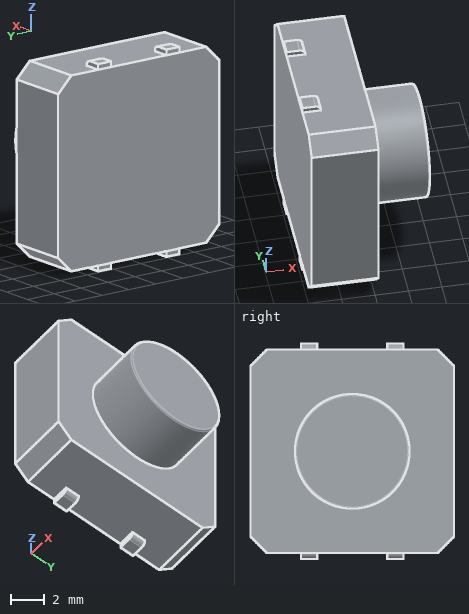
import cadquery as cq

housing_side = 12.0
housing_depth = 4.0
corner_chamfer = 0.98

button_diameter = 6.76
button_length = 3.6
button_edge_fillet = 0.1

overall_height = 12.7
terminal_thickness = (overall_height - housing_side) / 2
terminal_length = 1.12
terminal_width = 0.97
terminal_pitch = 5.08
terminal_bend_radius = 0.33


def make_housing():
    """Square block whose four edges along X are chamfered."""
    return (
        cq.Workplane("YZ")
        .rect(housing_side, housing_side)
        .extrude(housing_depth)
        .edges("|X")
        .chamfer(corner_chamfer)
    )


def make_button():
    """Cylinder along X with a rounded outer rim."""
    return (
        cq.Workplane("YZ", origin=(housing_depth, 0, 0))
        .circle(button_diameter / 2)
        .extrude(button_length)
        .faces(">X")
        .edges()
        .fillet(button_edge_fillet)
    )


def make_terminal(y_center, z_side):
    """Tab on the top (z_side = 1) or bottom (z_side = -1) face, with a rounded front edge."""
    z_center = z_side * (housing_side + terminal_thickness) / 2
    outer_front_edge = ">X and >Z" if z_side > 0 else ">X and <Z"
    return (
        cq.Workplane("XY")
        .box(terminal_length, terminal_width, terminal_thickness)
        .edges(outer_front_edge)
        .fillet(terminal_bend_radius)
        .translate((terminal_length / 2, y_center, z_center))
    )


housing = make_housing()
button = make_button()
terminals = [
    make_terminal(y_side * terminal_pitch / 2, z_side)
    for y_side in (-1, 1)
    for z_side in (-1, 1)
]

result = cq.Compound.makeCompound(
    [housing.val(), button.val(), *[terminal.val() for terminal in terminals]]
)